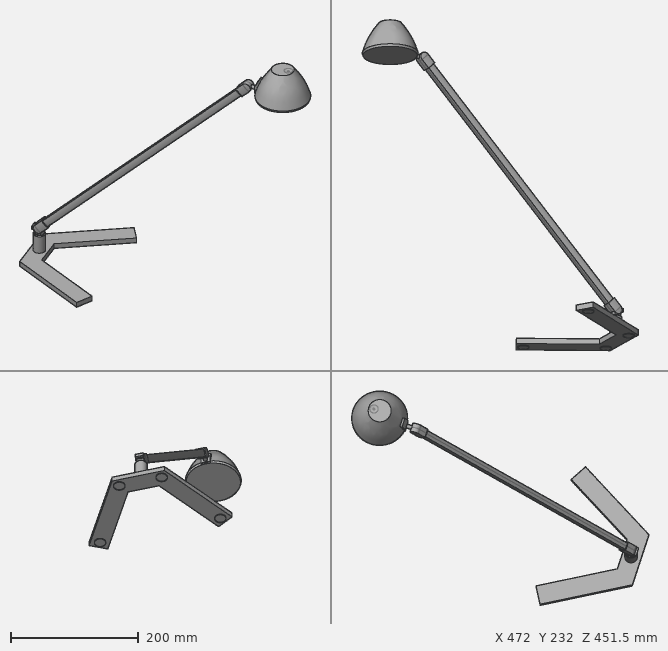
import cadquery as cq
import math

bar_width = 30.0
bar_half_back = 42.5
leg_length = 147.0
leg_angle = math.radians(30)
base_bottom = 1.5
base_thickness = 9.0
base_top = base_bottom + base_thickness
foot_diameter = 18.0
foot_embed = 1.0
rear_foot = (12.7, 34.5)
front_foot = (125.0, 97.5)

post_x = 15.5
post_diameter = 20.0
post_top = 42.5
post_edge_chamfer = 1.5
neck_diameter = 16.0
neck_width = 12.7
neck_top = 48.0
stop_back_x = 5.0
stop_length = 7.5
stop_bottom = 50.0
stop_top = 55.5

arm_angle = 45.0
lower_joint_z = 53.0
joint_distance = 498.5
bar_side = 12.5
side_bulge = 0.8
crown = 0.1
knuckle_side = 15.5
knuckle_length = 17.0

shade_x = 428.0
shade_radius = 44.0
shade_top_radius = 18.0
shade_bulge_radius = 34.0
shade_bulge_z = 427.5
shade_top = 451.5
rim_top = 402.5
rim_bottom = 398.5
rim_bottom_radius = 42.5
pin_diameter = 6.5
pin_z = 406.0
bracket_back_x = 383.5
bracket_front_x = 397.5
bracket_width = 15.0
bracket_bottom = 400.5
bracket_top = 423.5
bracket_slope_start = 413.0
bracket_slope_depth = 5.0
bracket_corner_fillet = 3.0

dimple_x = 437.5
dimple_diameter = 13.0
dimple_floor_diameter = 2.9
dimple_depth = 1.0

upper_joint_x = post_x + joint_distance * math.cos(math.radians(arm_angle))


def make_base():
    """Mitred bar: straight back and two legs spreading forward, with feet below."""
    leg_x = leg_length * math.cos(leg_angle)
    leg_y = bar_half_back + leg_length * math.sin(leg_angle)
    inner_half_back = bar_half_back - bar_width * math.tan(leg_angle)
    end_x = leg_x + bar_width * math.sin(leg_angle)
    end_y = leg_y - bar_width * math.cos(leg_angle)
    upper_half = [(0, bar_half_back), (leg_x, leg_y), (end_x, end_y), (bar_width, inner_half_back)]
    lower_half = [(x, -y) for x, y in reversed(upper_half)]
    plate = (
        cq.Workplane("XY")
        .workplane(offset=base_bottom)
        .polyline(upper_half + lower_half)
        .close()
        .extrude(base_thickness)
    )
    foot_centres = [(x, side * y) for x, y in (rear_foot, front_foot) for side in (1, -1)]
    feet = (
        cq.Workplane("XY")
        .pushPoints(foot_centres)
        .circle(foot_diameter / 2)
        .extrude(base_bottom + foot_embed)
    )
    return plate.union(feet)


def make_post():
    """Round post with a bevelled top edge, a neck with two flats and a rear tilt stop."""
    column = (
        cq.Workplane("XY", origin=(post_x, 0, base_bottom))
        .circle(post_diameter / 2)
        .extrude(post_top - base_bottom)
        .faces(">Z")
        .chamfer(post_edge_chamfer)
    )
    neck = (
        cq.Workplane("XY", origin=(post_x, 0, base_top))
        .circle(neck_diameter / 2)
        .extrude(neck_top - base_top)
    )
    neck_flats = (
        cq.Workplane("XY", origin=(post_x, 0, base_top))
        .rect(neck_diameter, neck_width)
        .extrude(neck_top - base_top)
    )
    stop = (
        cq.Workplane("XY", origin=(stop_back_x + stop_length / 2, 0, stop_bottom))
        .rect(stop_length, neck_width)
        .extrude(stop_top - stop_bottom)
    )
    return column.union(neck.intersect(neck_flats)).union(stop)


def upper_half_section(plane_x, side):
    """Upper half of the bar section: side bulges and a top rising to a faint central ridge."""
    half = side / 2
    flat = half - side_bulge
    bulge_radius = (half**2 + side_bulge**2) / (2 * side_bulge)
    middle_angle = math.asin(half / bulge_radius) / 2
    middle_y = half - bulge_radius * (1 - math.cos(middle_angle))
    middle_z = bulge_radius * math.sin(middle_angle)
    return (
        cq.Workplane("YZ", origin=(plane_x, 0, 0))
        .moveTo(-half, 0)
        .threePointArc((-middle_y, middle_z), (-flat, half))
        .lineTo(0, half + crown)
        .lineTo(flat, half)
        .threePointArc((middle_y, middle_z), (half, 0))
        .close()
    )


def bar_section(start, side, length):
    """Straight bar along +X from start, alike above and below its middle plane."""
    upper = upper_half_section(start, side).extrude(length)
    return upper.union(upper.mirror("XY")).clean()


def knuckle(joint_x, toward_bar):
    """Sleeve around the bar, rounded about the Y axis of its joint."""
    sleeve_start = min(joint_x, joint_x + toward_bar * knuckle_length)
    sleeve = bar_section(sleeve_start, knuckle_side, knuckle_length)
    rounded_end = upper_half_section(joint_x, knuckle_side).revolve(360, (0, 0, 0), (1, 0, 0))
    return sleeve.union(rounded_end)


def make_arm():
    """Bar and both knuckles, built along X and then tilted up about the lower joint."""
    arm = bar_section(0, bar_side, joint_distance)
    arm = arm.union(knuckle(0, 1)).union(knuckle(joint_distance, -1))
    return arm.rotate((0, 0, 0), (0, 1, 0), -arm_angle).translate((post_x, 0, lower_joint_z))


def make_shade():
    """Bulged dome of revolution with a narrow tapered rim and a switch dimple on top."""
    dome = (
        cq.Workplane("XZ")
        .moveTo(0, rim_bottom)
        .lineTo(rim_bottom_radius, rim_bottom)
        .lineTo(shade_radius, rim_top)
        .threePointArc((shade_bulge_radius, shade_bulge_z), (shade_top_radius, shade_top))
        .lineTo(0, shade_top)
        .close()
        .revolve(360, (0, 0, 0), (0, 1, 0))
        .translate((shade_x, 0, 0))
    )
    dimple = (
        cq.Workplane("XY", origin=(dimple_x, 0, shade_top))
        .circle(dimple_diameter / 2)
        .workplane(offset=-dimple_depth)
        .circle(dimple_floor_diameter / 2)
        .loft(ruled=True)
    )
    return dome.cut(dimple)


def make_shade_mount():
    """Level pin from the upper joint into a bracket that leans back along the shade wall."""
    pin = (
        cq.Workplane("YZ", origin=(upper_joint_x, 0, pin_z))
        .circle(pin_diameter / 2)
        .extrude(shade_x - upper_joint_x)
    )
    profile = [
        (bracket_back_x, bracket_bottom),
        (bracket_back_x, bracket_slope_start),
        (bracket_back_x + bracket_slope_depth, bracket_top),
        (bracket_front_x, bracket_top),
        (bracket_front_x, bracket_bottom),
    ]
    bracket = (
        cq.Workplane("XZ")
        .polyline(profile)
        .close()
        .extrude(bracket_width / 2, both=True)
        .edges("|X and >Z")
        .fillet(bracket_corner_fillet)
    )
    return pin.union(bracket)


result = make_base()
for component in (make_post(), make_arm(), make_shade(), make_shade_mount()):
    result = result.union(component)